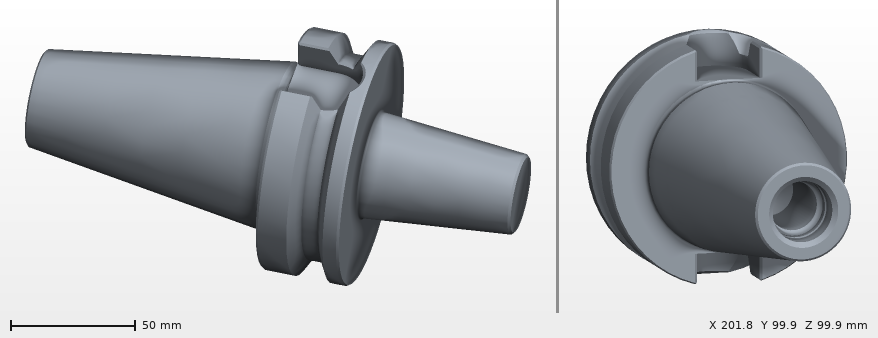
import cadquery as cq
import math

length = 201.8
taper_length = 100.7
flange_start = 104.7
flange_end = 139.5

taper_ratio = 7 / 24
tail_radius = 40.2 / 2
tail_chamfer = 0.8
taper_end_radius = tail_radius + taper_length * taper_ratio / 2
relief_radius = 34.3
relief_slope = 1.6
relief_fillet = 1.2

flange_radius = 99.9 / 2
groove_radius = 42.5
groove_floor_start = 121.9
groove_floor_end = 128.5
groove_side_run = (flange_radius - groove_radius) * math.tan(math.radians(30))
rim_chamfer_length = 1.0
rim_chamfer_depth = 0.6

nose_base_radius = 21.8
nose_tip_radius = 16.5
nose_fillet = 1.0
nose_chamfer = 1.0

slot_radius = 13.1
slot_floor_height = 35.3
slot_end = 135.5
slot_edge_chamfer = 1.0
end_chamfer = 1.2

mouth_radius = 14.5
mouth_chamfer_depth = 1.6
counterbore_radius = 12.5
counterbore_depth = 9.5
thread_entry_depth = 13.3
thread_major_radius = 24.0 / 2
bore_radius = 10.0
bore_depth = 48.5
drill_tip_angle = 118.0


def revolve_about_x(profile):
    return profile.close().revolve(360, (0, 0, 0), (1, 0, 0))


def make_body():
    relief_start = taper_length + relief_slope
    nose_start = flange_end + nose_fillet
    profile = (
        cq.Workplane("XY")
        .lineTo(0, tail_radius - tail_chamfer)
        .lineTo(tail_chamfer, tail_radius + tail_chamfer * taper_ratio / 2)
        .lineTo(taper_length, taper_end_radius)
        .lineTo(relief_start, relief_radius)
        .lineTo(flange_start - relief_fillet, relief_radius)
        .radiusArc((flange_start, relief_radius + relief_fillet), -relief_fillet)
        .lineTo(flange_start, flange_radius - rim_chamfer_depth)
        .lineTo(flange_start + rim_chamfer_length, flange_radius)
        .lineTo(groove_floor_start - groove_side_run, flange_radius)
        .lineTo(groove_floor_start, groove_radius)
        .lineTo(groove_floor_end, groove_radius)
        .lineTo(groove_floor_end + groove_side_run, flange_radius)
        .lineTo(flange_end - rim_chamfer_length, flange_radius)
        .lineTo(flange_end, flange_radius - rim_chamfer_depth)
        .lineTo(flange_end, nose_base_radius + nose_fillet)
        .radiusArc((nose_start, nose_base_radius), -nose_fillet)
        .lineTo(length - nose_chamfer, nose_tip_radius)
        .lineTo(length, nose_tip_radius - nose_chamfer)
        .lineTo(length, 0)
    )
    return revolve_about_x(profile)


def make_bore():
    tip_depth = bore_radius / math.tan(math.radians(drill_tip_angle / 2))
    thread_relief = thread_major_radius - bore_radius
    profile = (
        cq.Workplane("XY")
        .lineTo(0, mouth_radius)
        .lineTo(mouth_chamfer_depth, counterbore_radius)
        .lineTo(counterbore_depth, counterbore_radius)
        .lineTo(counterbore_depth + counterbore_radius - thread_major_radius, thread_major_radius)
        .lineTo(thread_entry_depth, thread_major_radius)
        .lineTo(thread_entry_depth + thread_relief, bore_radius)
        .lineTo(bore_depth, bore_radius)
        .lineTo(bore_depth + tip_depth, 0)
    )
    return revolve_about_x(profile)


def make_drive_slot():
    arc_center = slot_end - slot_radius
    slot_start = flange_start
    height = flange_radius
    return (
        cq.Workplane("XY", origin=(0, 0, slot_floor_height))
        .moveTo(slot_start, -slot_radius)
        .lineTo(arc_center, -slot_radius)
        .threePointArc((slot_end, 0), (arc_center, slot_radius))
        .lineTo(slot_start, slot_radius)
        .close()
        .extrude(height)
    )


def make_flared_channel(plane, origin, narrow_at, wide_at, reach):
    """Trapezoid as wide as the slot at narrow_at, opening at 45 degrees toward wide_at."""
    wide_half = slot_radius + abs(wide_at - narrow_at)
    corners = [
        (narrow_at, -slot_radius),
        (wide_at, -wide_half),
        (wide_at, wide_half),
        (narrow_at, slot_radius),
    ]
    return cq.Workplane(plane, origin=origin).polyline(corners).close().extrude(reach)


def make_slot_chamfers():
    mouth = make_flared_channel(
        "XY", (0, 0, slot_floor_height), flange_start + slot_edge_chamfer, flange_start, flange_radius
    )
    wall_top = math.sqrt(flange_radius**2 - slot_radius**2)
    chamfer_base = wall_top - slot_edge_chamfer
    rim_plane = cq.Plane(origin=(flange_start, 0, 0), xDir=(0, 0, 1), normal=(1, 0, 0))
    rim = make_flared_channel(
        rim_plane, rim_plane.origin, chamfer_base, flange_radius, groove_floor_start - flange_start
    )
    rounded_end = (
        cq.Workplane("XY", origin=(slot_end - slot_radius, 0, flange_radius - end_chamfer))
        .circle(slot_radius)
        .extrude(end_chamfer, taper=-45)
    )
    return mouth.union(rim).union(rounded_end)


slot = make_drive_slot().union(make_slot_chamfers())
result = make_body().cut(make_bore())
result = result.cut(slot).cut(slot.mirror("XY"))